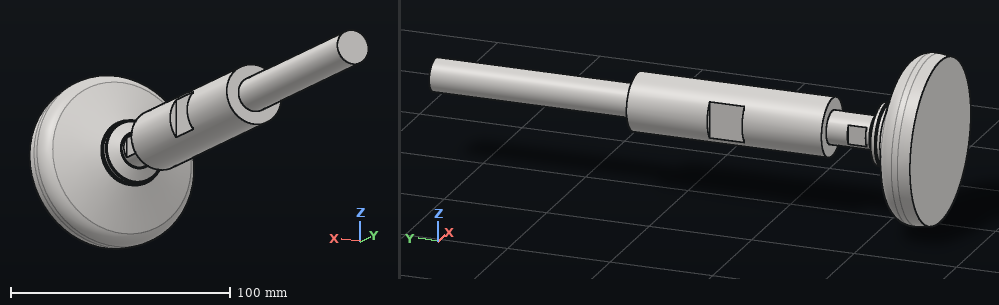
import cadquery as cq

total_length = 246.5

foot_radius = 40.05
base_radius = 39.2
rim_bottom = 6.0
rim_top = 8.9
shoulder_radius = 35.5
shoulder_height = 15.8
shoulder_bulge_radius = 38.7
shoulder_bulge_height = 12.8
slope_top = 24.0

collar_radius = 14.8
lip_radius = 15.3
lip_bottom = 25.6
lip_top = 26.4
collar_top = 28.5
neck_base_radius = 14.0
neck_radius = 8.6
neck_top = 31.5

rod_radius = 16.0 / 2
rod_flat_width = 13.0
rod_flat_start = 33.5
rod_flat_end = 42.5

sleeve_radius = 28.0 / 2
sleeve_start = 52.8
sleeve_end = 148.0
sleeve_flat_width = 22.0
sleeve_flat_start = 91.5
sleeve_flat_end = 108.5


def cylinder_along_y(radius, start, end):
    """Cylinder on the common axis between two heights."""
    return cq.Workplane("XZ", origin=(0, start, 0)).circle(radius).extrude(start - end)


def cut_wrench_flats(body, body_radius, width, start, end):
    """Cut a pair of opposite flats, facing -X and +X, into a round body."""
    depth = body_radius - width / 2
    offset = width / 2 + depth / 2
    for side in (-1, 1):
        cutter = cq.Workplane("XY").box(depth, end - start, 2 * body_radius)
        body = body.cut(cutter.translate((side * offset, (start + end) / 2, 0)))
    return body


def make_foot():
    """Foot plate with rounded shoulder, lipped collar, conical neck and long rod, in one piece."""
    turned = (
        cq.Workplane("XY")
        .lineTo(base_radius, 0)
        .lineTo(foot_radius, rim_bottom)
        .lineTo(foot_radius, rim_top)
        .threePointArc((shoulder_bulge_radius, shoulder_bulge_height), (shoulder_radius, shoulder_height))
        .lineTo(collar_radius, slope_top)
        .lineTo(collar_radius, lip_bottom)
        .lineTo(lip_radius, lip_bottom)
        .lineTo(lip_radius, lip_top)
        .lineTo(collar_radius, lip_top)
        .lineTo(collar_radius, collar_top)
        .lineTo(neck_base_radius, collar_top)
        .lineTo(neck_radius, neck_top)
        .lineTo(rod_radius, neck_top)
        .lineTo(rod_radius, total_length)
        .lineTo(0, total_length)
        .close()
        .revolve(360, (0, 0, 0), (0, 1, 0))
    )
    return cut_wrench_flats(turned, rod_radius, rod_flat_width, rod_flat_start, rod_flat_end)


def make_sleeve():
    """Sleeve with a through bore that fits the rod."""
    blank = cylinder_along_y(sleeve_radius, sleeve_start, sleeve_end)
    bored = blank.cut(cylinder_along_y(rod_radius, sleeve_start, sleeve_end))
    return cut_wrench_flats(bored, sleeve_radius, sleeve_flat_width, sleeve_flat_start, sleeve_flat_end)


foot = make_foot()
sleeve = make_sleeve()

result = cq.Compound.makeCompound([foot.val(), sleeve.val()])